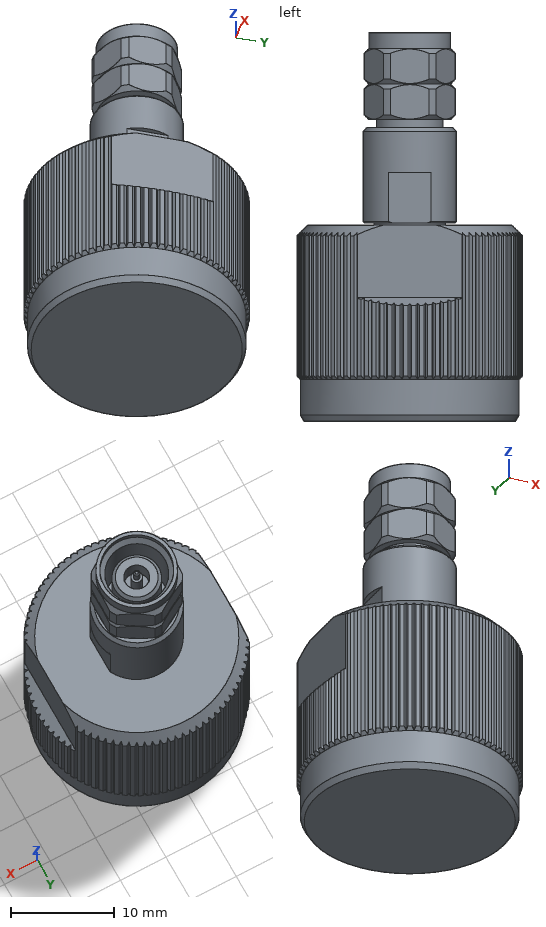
import cadquery as cq
import math


total_height = 37.5
large_nut_top = 18.95
barrel_bottom = 19.12
barrel_top = 28.35
small_nut_bottom = 29.1
ring_bottom = 35.95

knurl_diameter = 21.8
knurl_count = 88
groove_depth = 0.32
groove_angle = 60.0
rim_diameter = 21.1
rim_height = 4.05
rim_chamfer_width = 0.38
rim_chamfer_height = 0.6
top_chamfer_width = 1.05
top_chamfer_height = 1.05
large_flat_distance = 19.0
large_flat_bottom = 11.95
large_flat_slope = 30.0

foot_radius = 3.45
barrel_radius = 4.5
barrel_top_chamfer = 0.38
barrel_bottom_chamfer = 0.15
barrel_flat_distance = 8.02
barrel_flat_top = 24.0
neck_radius = 3.22
plug_radius = 2.4
plug_chamfer = 0.35
plug_top = 35.4
recess_radius = 1.25
recess_depth = 2.25
contact_radius = 0.55
contact_top = plug_top
pin_radius = 0.3
pin_top = 36.6
pin_chamfer = 0.15

hex_count = 2
hex_flat_distance = 8.0
hex_corner_diameter = 8.8
ring_radius = 3.95
mouth_radius = 3.55
mouth_depth = 0.65
small_bore_radius = 3.08


def turned(profile):
    """Solid of revolution about Z from (radius, height) points."""
    return cq.Workplane("XZ").polyline(profile).close().revolve(360, (0, 0), (0, 1))


def knurled_bar(height):
    """Bar with V grooves along its length, one of them facing each of the X and Y directions."""
    crest_radius = knurl_diameter / 2
    root_radius = crest_radius - groove_depth
    pitch = 2 * math.pi / knurl_count
    half_groove = groove_depth * math.tan(math.radians(groove_angle / 2)) / crest_radius

    def at(radius, angle):
        return (radius * math.cos(angle), radius * math.sin(angle))

    outline = cq.Workplane("XY").moveTo(*at(root_radius, 0))
    for tooth in range(knurl_count):
        start = tooth * pitch
        end = start + pitch
        outline = outline.lineTo(*at(crest_radius, start + half_groove))
        outline = outline.threePointArc(
            at(crest_radius, start + pitch / 2), at(crest_radius, end - half_groove)
        )
        if tooth < knurl_count - 1:
            outline = outline.lineTo(*at(root_radius, end))
    return outline.close().extrude(height)


def large_flat_cutter(side):
    """Cutter for one wrench flat on the +X or -X side, with a floor that falls away outwards."""
    flat_x = large_flat_distance / 2
    outer_x = knurl_diameter
    floor_drop = (outer_x - flat_x) * math.tan(math.radians(large_flat_slope))
    outline = [
        (side * flat_x, large_flat_bottom),
        (side * outer_x, large_flat_bottom - floor_drop),
        (side * outer_x, total_height),
        (side * flat_x, total_height),
    ]
    return cq.Workplane("XZ").polyline(outline).close().extrude(knurl_diameter / 2, both=True)


def make_large_nut():
    crest_radius = knurl_diameter / 2
    rim_radius = rim_diameter / 2
    knurl_bottom = rim_height + crest_radius - rim_radius
    knurl_envelope = turned([
        (0, rim_height),
        (rim_radius, rim_height),
        (crest_radius, knurl_bottom),
        (crest_radius, large_nut_top - top_chamfer_height),
        (crest_radius - top_chamfer_width, large_nut_top),
        (0, large_nut_top),
    ])
    rim = turned([
        (0, 0),
        (rim_radius - rim_chamfer_width, 0),
        (rim_radius, rim_chamfer_height),
        (rim_radius, rim_height),
        (0, rim_height),
    ])
    nut = knurled_bar(large_nut_top).intersect(knurl_envelope).union(rim)
    for side in (-1, 1):
        nut = nut.cut(large_flat_cutter(side))
    return nut


def make_connector_body():
    """Turned body whose foot stands on the large nut; the small nut stands on its neck."""
    recess_bottom = plug_top - recess_depth
    body = turned([
        (0, large_nut_top),
        (foot_radius, large_nut_top),
        (foot_radius, barrel_bottom),
        (barrel_radius - barrel_bottom_chamfer, barrel_bottom),
        (barrel_radius, barrel_bottom + barrel_bottom_chamfer),
        (barrel_radius, barrel_top - barrel_top_chamfer),
        (barrel_radius - barrel_top_chamfer, barrel_top),
        (neck_radius, barrel_top),
        (neck_radius, small_nut_bottom),
        (plug_radius, small_nut_bottom),
        (plug_radius, plug_top - plug_chamfer),
        (plug_radius - plug_chamfer, plug_top),
        (recess_radius, plug_top),
        (recess_radius, recess_bottom),
        (contact_radius, recess_bottom),
        (contact_radius, contact_top),
        (pin_radius, contact_top),
        (pin_radius, pin_top - pin_chamfer),
        (pin_radius - pin_chamfer, pin_top),
        (0, pin_top),
    ])
    flat_depth = barrel_radius - barrel_flat_distance / 2
    flat_height = barrel_flat_top - barrel_bottom
    for side in (-1, 1):
        flat = (
            cq.Workplane("XY", origin=(0, 0, barrel_bottom))
            .center(side * (barrel_flat_distance + flat_depth) / 2, 0)
            .rect(flat_depth, 2 * barrel_radius)
            .extrude(flat_height)
        )
        body = body.cut(flat)
    return body


def hex_section(bottom, height):
    """Hexagon with flats facing X, rounded at the corners and chamfered at both ends."""
    corner_radius = hex_corner_diameter / 2
    end_chamfer = corner_radius - ring_radius
    top = bottom + height
    envelope = turned([
        (0, bottom),
        (ring_radius, bottom),
        (corner_radius, bottom + end_chamfer),
        (corner_radius, top - end_chamfer),
        (ring_radius, top),
        (0, top),
    ])
    sharp_corner_diameter = hex_flat_distance / math.cos(math.pi / 6)
    prism = (
        cq.Workplane("XY", origin=(0, 0, bottom))
        .polygon(6, sharp_corner_diameter)
        .extrude(height)
        .rotate((0, 0, 0), (0, 0, 1), 30)
    )
    return prism.intersect(envelope)


def make_small_nut():
    hex_height = (ring_bottom - small_nut_bottom) / hex_count
    nut = (
        cq.Workplane("XY", origin=(0, 0, ring_bottom))
        .circle(ring_radius)
        .extrude(total_height - ring_bottom)
    )
    for index in range(hex_count):
        nut = nut.union(hex_section(small_nut_bottom + index * hex_height, hex_height))
    mouth_bottom = total_height - mouth_depth
    bore = turned([
        (0, small_nut_bottom),
        (small_bore_radius, small_nut_bottom),
        (small_bore_radius, mouth_bottom - (mouth_radius - small_bore_radius)),
        (mouth_radius, mouth_bottom),
        (mouth_radius, total_height),
        (0, total_height),
    ])
    return nut.cut(bore)


large_nut = make_large_nut()
connector_body = make_connector_body()
small_nut = make_small_nut()

result = cq.Compound.makeCompound([large_nut.val(), connector_body.val(), small_nut.val()])